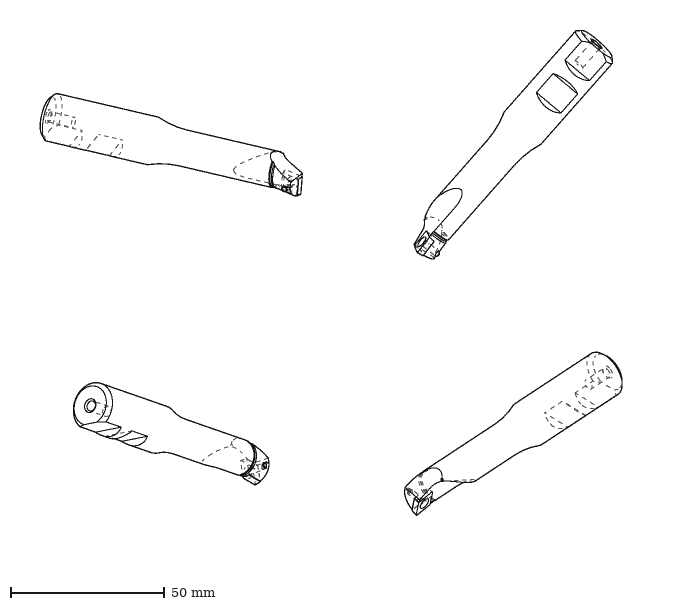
import cadquery as cq
import math

total_length = 90
shank_radius = 16.0 / 2
shank_length = 37.2
shank_chamfer = 1.4
bar_radius = 12.1 / 2
bar_start = 48.15
bar_end = 81.45

flat_z = -6.0
flat_wall_run = 1.35
flat_spans = [(-flat_wall_run, 9.8), (15.75, 24.1)]

end_hole_diameter = 3.4
end_hole_mouth = 4.6
end_hole_depth = 9

neck_radius = 5.8
neck_length = 1.1
head_radius = 5.9
head_start = bar_end + neck_length
flare_slope = 10.8
flare_radius = 5.6
flare_rise = 0.3
flare_offset = 0.45
flare_yaw = 3
flare_start = 76.5
end_face_x = 89.7
end_face_angle = 7
clearance_flat_height = 2.9
slope_angle = 30
slope_start = 79.5

insert_tilt = 11
insert_corner_angle = 80
insert_edge = 6.5
insert_thickness = 2.3
insert_clearance = 7
insert_nose_radius = 0.4
tip_z = -7.6
rake_y = -tip_z * math.sin(math.radians(insert_tilt))
corner_z = tip_z * math.cos(math.radians(insert_tilt))

gullet_angle = 32
gullet_radius = 4.8
gullet_start_x = 71.3

screw_diameter = 2.0
screw_head_diameter = 3.9
screw_length = 7.2
screw_tip_chamfer = 0.3

cutter_size = 36


def tilt_with_insert(body):
    return body.rotate((0, 0, 0), (1, 0, 0), -insert_tilt)


def insert_axis():
    """X and Z of the rhombus centre, before the tilt."""
    lead = math.radians(90 - insert_corner_angle)
    x = total_length - insert_edge * math.cos(lead) / 2
    z = corner_z + insert_edge * (1 + math.sin(lead)) / 2
    return x, z


def make_insert_blank():
    lead = math.radians(90 - insert_corner_angle)
    run = insert_edge * math.cos(lead)
    rise = insert_edge * math.sin(lead)
    corners = [
        (total_length, corner_z),
        (total_length, corner_z + insert_edge),
        (total_length - run, corner_z + insert_edge + rise),
        (total_length - run, corner_z + rise),
        (total_length, corner_z),
    ]
    outline = cq.Sketch().polygon(corners).vertices().fillet(insert_nose_radius)
    blank = (
        cq.Workplane("XZ", origin=(0, rake_y, 0))
        .placeSketch(outline)
        .extrude(insert_thickness, taper=insert_clearance)
    )
    return tilt_with_insert(blank)


def make_screw():
    """Countersunk screw, its head flush with the rake face."""
    radius = screw_diameter / 2
    head_radius_top = screw_head_diameter / 2
    tip_radius = radius - screw_tip_chamfer
    tip_y = rake_y - screw_length
    x, z = insert_axis()
    profile = [
        (0, rake_y),
        (head_radius_top, rake_y),
        (radius, rake_y - (head_radius_top - radius)),
        (radius, tip_y + screw_tip_chamfer),
        (tip_radius, tip_y),
        (0, tip_y),
    ]
    screw = cq.Workplane("XY").polyline(profile).close().revolve(360, (0, 0, 0), (0, 1, 0))
    return tilt_with_insert(screw.translate((x, 0, z)))


def make_screw_hole():
    """Full-diameter bore that carries on past the screw tip."""
    x, z = insert_axis()
    bore = (
        cq.Workplane("XZ", origin=(0, rake_y, 0))
        .center(x, z)
        .circle(screw_diameter / 2)
        .extrude(cutter_size)
    )
    return tilt_with_insert(bore)


def make_turned_bar():
    """Shank, concave reduction and slender bar; the arc runs tangent into the bar."""
    run = bar_start - shank_length
    drop = shank_radius - bar_radius
    arc_radius = (run**2 + drop**2) / (2 * drop)
    mid_x = bar_start - run / 2
    mid_radius = bar_radius + arc_radius - math.sqrt(arc_radius**2 - (run / 2) ** 2)
    profile = (
        cq.Workplane("XY")
        .lineTo(0, shank_radius - shank_chamfer)
        .lineTo(shank_chamfer, shank_radius)
        .lineTo(shank_length, shank_radius)
        .threePointArc((mid_x, mid_radius), (bar_start, bar_radius))
        .lineTo(bar_end - (bar_radius - neck_radius), bar_radius)
        .lineTo(bar_end, neck_radius)
        .lineTo(bar_end + neck_length / 2, neck_radius)
        .lineTo(head_start, head_radius)
        .lineTo(head_start, 0)
        .close()
    )
    return profile.revolve(360, (0, 0, 0), (1, 0, 0))


def trim_flare(flare):
    """Trim the flare above the tilted mid-plane and leave a flat tangent to the straight cylinder."""
    above = cq.Workplane("XY").box(
        cutter_size * 2, cutter_size, cutter_size, centered=(True, True, False)
    ).translate((head_start, 0, 0))
    beside = cq.Workplane("XY").box(
        cutter_size, cutter_size, clearance_flat_height, centered=False
    ).translate((head_start, -head_radius - cutter_size, -clearance_flat_height))
    return flare.cut(tilt_with_insert(above)).cut(tilt_with_insert(beside))


def make_head():
    """Straight cylinder joined with a cylinder that slopes down toward the tip."""
    straight = (
        cq.Workplane("YZ", origin=(head_start, 0, 0))
        .circle(head_radius)
        .extrude(total_length - head_start)
    )
    flare = (
        cq.Workplane("YZ", origin=(flare_start, 0, 0))
        .circle(flare_radius)
        .extrude(cutter_size)
        .rotate((head_start, 0, 0), (head_start, 1, 0), flare_slope)
        .rotate((head_start, 0, 0), (head_start, 0, 1), -flare_yaw)
        .translate((0, -flare_offset, flare_rise))
    )
    ahead_of_neck = cq.Workplane("XY").box(
        cutter_size, cutter_size, cutter_size, centered=(False, True, True)
    ).translate((head_start, 0, 0))
    return straight.union(trim_flare(flare.intersect(ahead_of_neck)))


def cut_end_face(body):
    cutter = (
        cq.Workplane("XY")
        .box(cutter_size, cutter_size, cutter_size, centered=(False, True, True))
        .rotate((0, 0, 0), (0, 0, 1), -end_face_angle)
        .translate((end_face_x, 0, 0))
    )
    return body.cut(cutter)


def cut_sloped_top(body):
    cutter = (
        cq.Workplane("XY")
        .box(cutter_size, cutter_size, cutter_size, centered=(True, True, False))
        .rotate((0, 0, 0), (0, 1, 0), slope_angle)
        .translate((slope_start, 0, bar_radius))
    )
    return body.cut(cutter)


def cut_gullet(body):
    """Channel beside the rake face: a flat floor rising through a tangent arc."""
    half_turn = math.sqrt(0.5)
    profile = (
        cq.Workplane("XY")
        .moveTo(0, rake_y + gullet_radius)
        .threePointArc(
            (gullet_radius * (1 - half_turn), rake_y + gullet_radius * (1 - half_turn)),
            (gullet_radius, rake_y),
        )
        .lineTo(cutter_size, rake_y)
        .lineTo(cutter_size, cutter_size)
        .lineTo(0, cutter_size)
        .close()
    )
    cutter = (
        profile.extrude(cutter_size, both=True)
        .rotate((0, 0, 0), (0, 1, 0), 90 - gullet_angle)
        .translate((gullet_start_x, 0, 0))
    )
    return body.cut(tilt_with_insert(cutter))


def cut_clamping_flats(body):
    depth = shank_radius + flat_z
    for start, end in flat_spans:
        cutter = (
            cq.Workplane("XZ")
            .polyline([
                (start, flat_z),
                (end, flat_z),
                (end + flat_wall_run, flat_z - depth),
                (start - flat_wall_run, flat_z - depth),
            ])
            .close()
            .extrude(shank_radius, both=True)
        )
        body = body.cut(cutter)
    return body


def cut_end_hole(body):
    radius = end_hole_diameter / 2
    mouth_radius = end_hole_mouth / 2
    hole = (
        cq.Workplane("XY")
        .polyline([
            (0, 0),
            (0, mouth_radius),
            (mouth_radius - radius, radius),
            (end_hole_depth, radius),
            (end_hole_depth, 0),
        ])
        .close()
        .revolve(360, (0, 0, 0), (1, 0, 0))
    )
    return body.cut(hole)


def make_holder(insert_blank, screw):
    holder = make_turned_bar().union(make_head())
    holder = cut_clamping_flats(holder)
    holder = cut_end_hole(holder)
    holder = cut_end_face(holder)
    holder = cut_sloped_top(holder)
    holder = cut_gullet(holder)
    return holder.cut(insert_blank).cut(make_screw_hole()).cut(screw)


screw = make_screw()
insert_blank = make_insert_blank()
insert = insert_blank.cut(screw)
holder = make_holder(insert_blank, screw)

result = cq.Compound.makeCompound([holder.solids().val(), insert.solids().val(), screw.val()])